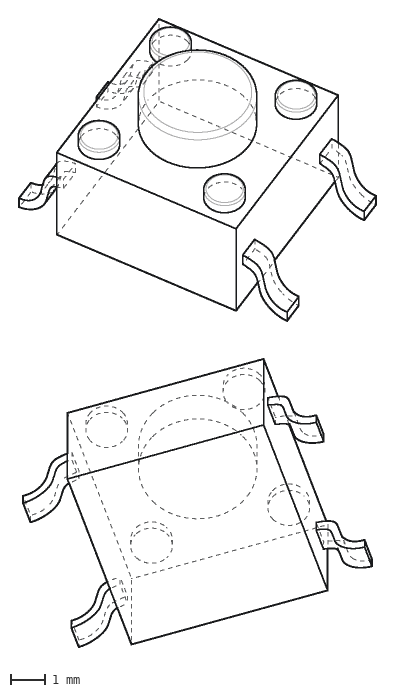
import cadquery as cq

overall_length = 9.02
overall_height = 5.0
body_side = 6.03
body_height = 3.6
body_half = body_side / 2

button_diameter = 3.46
button_edge_radius = 0.15

peg_diameter = 1.22
peg_height = 0.39
peg_edge_radius = 0.06
peg_spacing = 4.22

lead_width = 0.7
lead_spacing = 4.55
lead_tip_x = overall_length / 2
lead_tip_thickness = 0.4

lead_upper_edge = [
    (lead_tip_x, lead_tip_thickness),
    (4.06, 0.56),
    (3.815, 0.94),
    (3.68, 1.59),
    (3.55, 1.86),
    (3.3, 2.0),
    (body_half, 2.07),
]
lead_lower_edge = [
    (lead_tip_x, 0.0),
    (4.0, 0.19),
    (3.64, 0.63),
    (3.49, 1.31),
    (3.39, 1.5),
    (3.23, 1.6),
    (body_half, 1.67),
]


def make_lead(center_y):
    """S-shaped lead on the +X side, centred across its width on center_y."""
    outline = (
        cq.Workplane("XZ", origin=(0, center_y + lead_width / 2, 0))
        .moveTo(*lead_lower_edge[0])
        .spline(lead_lower_edge[1:], includeCurrent=True)
        .lineTo(*lead_upper_edge[-1])
        .spline(lead_upper_edge[-2::-1], includeCurrent=True)
        .close()
    )
    return outline.extrude(lead_width)


def make_round_boss(diameter, height, edge_radius):
    """Cylinder standing on the top face of the body, with a rounded top edge."""
    boss = cq.Workplane("XY", origin=(0, 0, body_height)).circle(diameter / 2).extrude(height)
    return boss.faces(">Z").edges().fillet(edge_radius)


body = cq.Workplane("XY").box(body_side, body_side, body_height, centered=(True, True, False))
button = make_round_boss(button_diameter, overall_height - body_height, button_edge_radius)
result = body.union(button)

peg = make_round_boss(peg_diameter, peg_height, peg_edge_radius)
for side_x in (-1, 1):
    for side_y in (-1, 1):
        result = result.union(peg.translate((side_x * peg_spacing / 2, side_y * peg_spacing / 2, 0)))

for side_y in (-1, 1):
    lead = make_lead(side_y * lead_spacing / 2)
    result = result.union(lead).union(lead.mirror("YZ"))